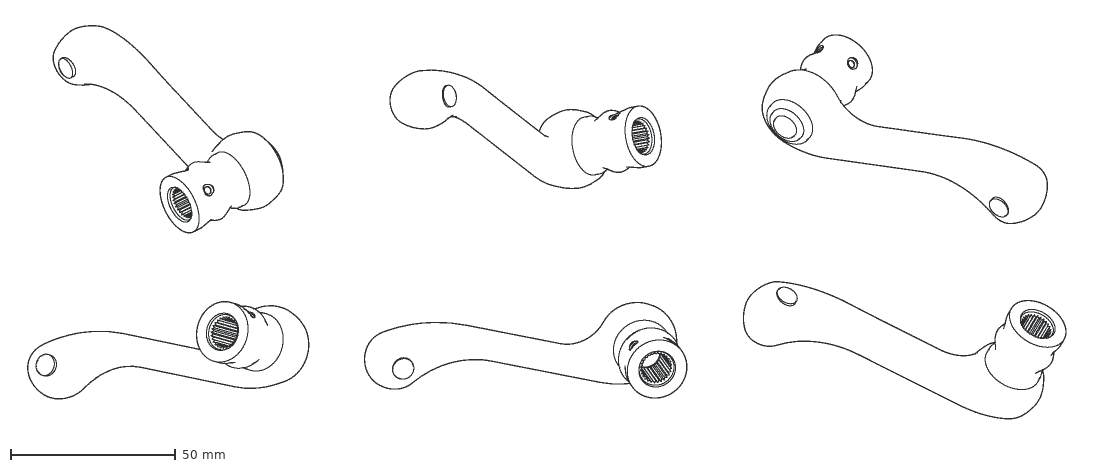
import cadquery as cq
import math


ARM_TILT = 15.5
HUB_RADIUS = 12.09
UPPER_EDGE = -5.5
LOWER_EDGE = -14.6
END_X = -76.1
END_RADIUS = 8.9
NECK_RADIUS = 11.1
BACK_RADIUS = 46.6
PALM_RADIUS = 27.2
BELLY_RADIUS = 30.1

BAND_HALF_WIDTH = 0.9
FLANK_ANGLE = 8.0
FLANK_RADIUS = 17.5
RIM_HALF_WIDTH = 9.7
RIM_DEPTH = 4.4
RIM_OVERLAP = 0.1
FACE_Y = 6.2
FLARE_START_X = -41.5
FLARE_RADIUS = 272.0
FACE_FILLET = 1.5

HUB_END_Y = -26.6
SLEEVE_RADIUS = 8.9
SLEEVE_CORNER_Y = -8.3
WAIST_RADIUS = 7.5
WAIST_Y = -11.2
RIDGE_RADIUS = 9.7
RIDGE_Y = -15.8
GROOVE_RADIUS = 8.4
GROOVE_Y = -19.1
COLLAR_RADIUS = 9.3
COLLAR_Y = -23.8
SLEEVE_FILLET = 1.5
COLLAR_FILLET = 2.5
SHAFT_RADIUS = 7.7
SHAFT_END_Y = 8.3
SHAFT_FILLET = 0.7
STEP_RADIUS = 5.7
STEP_END_Y = 9.4
STEP_FILLET = 0.4
TIP_RADIUS = 3.9
TIP_FILLET = 0.5

BORE_RADIUS = 4.3
SPLINE_ROOT_RADIUS = 4.9
SPLINE_COUNT = 28
BORE_END_Y = -11.7
DRILL_HALF_ANGLE = 59.0
MOUTH_RADIUS = 5.7
MOUTH_THROAT_RADIUS = 5.4
MOUTH_DEPTH = 0.8
COUNTERSINK_DEPTH = 1.7

DIMPLE_Y = -20.2
DIMPLE_ANGLES = (45.0, 135.0)
DIMPLE_RADIUS = 1.8
DIMPLE_FLOOR_RADIUS = 1.2
DIMPLE_RIM_DEPTH = 0.3
DIMPLE_DEPTH = 0.6

PIN_X = -75.2
PIN_RADIUS = 3.3
PIN_END_Y = 10.5
PIN_SHOULDER_Y = 9.1
DOME_RADIUS = 2.6
DOME_BASE_Y = 9.7


def rotated(point, angle):
    """Turn a 2D point counterclockwise about the origin."""
    c = math.cos(math.radians(angle))
    s = math.sin(math.radians(angle))
    return (c * point[0] - s * point[1], s * point[0] + c * point[1])


def along(start, target, distance):
    """Point at a distance from start, on the line towards target."""
    span = math.dist(start, target)
    return tuple(a + (b - a) * distance / span for a, b in zip(start, target))


def tangent_centre(circle_centre, distance, height, side):
    """Centre at a given height and at a given distance from a circle centre."""
    run = math.sqrt(distance ** 2 - (height - circle_centre[1]) ** 2)
    return (circle_centre[0] + side * run, height)


def outline_points():
    """Tangent points of the arm outline as (x, z), starting on the upper shank edge."""
    head = (0.0, 0.0)
    end = rotated((END_X, 0.0), ARM_TILT)
    neck = tangent_centre(head, HUB_RADIUS + NECK_RADIUS, UPPER_EDGE + NECK_RADIUS, -1)
    back = tangent_centre(end, BACK_RADIUS - END_RADIUS, UPPER_EDGE - BACK_RADIUS, 1)
    palm = tangent_centre(end, END_RADIUS + PALM_RADIUS, LOWER_EDGE - PALM_RADIUS, 1)
    belly = tangent_centre(head, BELLY_RADIUS - HUB_RADIUS, LOWER_EDGE + BELLY_RADIUS, -1)
    level_points = [
        (neck[0], UPPER_EDGE),
        (back[0], UPPER_EDGE),
        along(back, end, BACK_RADIUS),
        along(end, palm, END_RADIUS),
        (palm[0], LOWER_EDGE),
        (belly[0], LOWER_EDGE),
        along(belly, head, BELLY_RADIUS),
        along(head, neck, HUB_RADIUS),
    ]
    return [rotated(point, -ARM_TILT) for point in level_points]


def arm_outline(points):
    shank_top, crest, end_top, end_bottom, palm, belly, head_bottom, head_top = points
    return (
        cq.Workplane("XZ")
        .moveTo(*shank_top)
        .lineTo(*crest)
        .tangentArcPoint(end_top, relative=False)
        .tangentArcPoint(end_bottom, relative=False)
        .tangentArcPoint(palm, relative=False)
        .lineTo(*belly)
        .tangentArcPoint(head_bottom, relative=False)
        .tangentArcPoint(head_top, relative=False)
        .tangentArcPoint(shank_top, relative=False)
        .wire()
    )


def crowned_rim(points):
    """Rim of the arm: a rounded band between curved, drafted flanks, swept along the outline."""
    (start_x, start_z), (next_x, next_z) = points[:2]
    section_plane = cq.Plane(
        origin=(start_x, 0, start_z),
        xDir=(0, 1, 0),
        normal=(start_x - next_x, 0, start_z - next_z),
    )
    band_drop = BAND_HALF_WIDTH * math.tan(math.radians(FLANK_ANGLE / 2))

    def flank_drop(y):
        """Drop of the flank below the crest of the band."""
        start_sine = math.sin(math.radians(FLANK_ANGLE))
        end_sine = start_sine + (y - BAND_HALF_WIDTH) / FLANK_RADIUS
        return band_drop + FLANK_RADIUS * (math.sqrt(1 - start_sine ** 2) - math.sqrt(1 - end_sine ** 2))

    foot_y = RIM_HALF_WIDTH
    middle_y = (BAND_HALF_WIDTH + foot_y) / 2
    section = (
        cq.Workplane(section_plane)
        .moveTo(-foot_y, -RIM_DEPTH)
        .lineTo(-foot_y, -flank_drop(foot_y))
        .threePointArc((-middle_y, -flank_drop(middle_y)), (-BAND_HALF_WIDTH, -band_drop))
        .threePointArc((0, 0), (BAND_HALF_WIDTH, -band_drop))
        .threePointArc((middle_y, -flank_drop(middle_y)), (foot_y, -flank_drop(foot_y)))
        .lineTo(foot_y, -RIM_DEPTH)
        .close()
    )
    return section.sweep(arm_outline(points))


def side_face_envelope():
    """Plan shape of the arm: parallel faces that flare out towards the free end."""
    near_x = HUB_RADIUS + 1
    far_x = END_X - END_RADIUS - 1
    height = 4 * HUB_RADIUS

    def flare_y(x):
        run = FLARE_START_X - x
        return FACE_Y + FLARE_RADIUS - math.sqrt(FLARE_RADIUS ** 2 - run ** 2)

    middle_x = (FLARE_START_X + far_x) / 2
    return (
        cq.Workplane("XY")
        .moveTo(near_x, FACE_Y)
        .lineTo(FLARE_START_X, FACE_Y)
        .threePointArc((middle_x, flare_y(middle_x)), (far_x, flare_y(far_x)))
        .lineTo(far_x, -flare_y(far_x))
        .threePointArc((middle_x, -flare_y(middle_x)), (FLARE_START_X, -FACE_Y))
        .lineTo(near_x, -FACE_Y)
        .close()
        .extrude(height / 2, both=True)
    )


def is_face_border(edge):
    """True for the borders of the side faces, but not for the lines that cross them."""
    box = edge.BoundingBox()
    on_side_face = min(abs(box.ymin), abs(box.ymax)) > FACE_Y - 0.01
    return on_side_face and box.xlen > 0.01


def y_cylinder(x, radius, start_y, end_y):
    return (
        cq.Workplane("XZ", origin=(x, start_y, 0))
        .circle(radius)
        .extrude(start_y - end_y)
    )


def make_arm():
    points = outline_points()
    core = arm_outline(points).offset2D(RIM_OVERLAP - RIM_DEPTH).extrude(PIN_END_Y, both=True)
    arm = crowned_rim(points).union(core).intersect(side_face_envelope())
    arm = arm.edges().filter(is_face_border).fillet(FACE_FILLET)
    hub_hole = y_cylinder(0, SHAFT_RADIUS, -PIN_END_Y, PIN_END_Y)
    pin_hole = y_cylinder(PIN_X, PIN_RADIUS, -PIN_END_Y, PIN_END_Y)
    return arm.cut(hub_hole).cut(pin_hole)


def hub_blank():
    """Turned sleeve and stepped shaft."""
    sleeve = (
        cq.Workplane("XY")
        .moveTo(0, -FACE_Y)
        .lineTo(SLEEVE_RADIUS, -FACE_Y)
        .lineTo(SLEEVE_RADIUS, SLEEVE_CORNER_Y)
        .lineTo(WAIST_RADIUS, WAIST_Y)
        .lineTo(RIDGE_RADIUS, RIDGE_Y)
        .lineTo(GROOVE_RADIUS, GROOVE_Y)
        .lineTo(COLLAR_RADIUS, COLLAR_Y)
        .lineTo(COLLAR_RADIUS, HUB_END_Y)
        .lineTo(0, HUB_END_Y)
        .close()
        .revolve(360, (0, 0, 0), (0, 1, 0))
    )

    def is_collar_bend(edge):
        return edge.geomType() == "CIRCLE" and abs(edge.Center().y - COLLAR_Y) < 0.1

    def is_sleeve_bend(edge):
        return edge.geomType() == "CIRCLE" and GROOVE_Y - 0.1 < edge.Center().y < -FACE_Y - 0.1

    sleeve = sleeve.edges().filter(is_collar_bend).fillet(COLLAR_FILLET)
    sleeve = sleeve.edges().filter(is_sleeve_bend).fillet(SLEEVE_FILLET)
    shaft = y_cylinder(0, SHAFT_RADIUS, -FACE_Y, SHAFT_END_Y).edges(">Y").fillet(SHAFT_FILLET)
    step = y_cylinder(0, STEP_RADIUS, SHAFT_END_Y, STEP_END_Y).edges(">Y").fillet(STEP_FILLET)
    tip = y_cylinder(0, TIP_RADIUS, STEP_END_Y, PIN_END_Y).edges(">Y").fillet(TIP_FILLET)
    return sleeve.union(shaft).union(step).union(tip)


def splined_bore():
    """Serrated bore with a conical drilled end and a countersunk mouth."""
    pitch = 360.0 / SPLINE_COUNT
    profile = []
    for index in range(SPLINE_COUNT):
        profile.append(rotated((BORE_RADIUS, 0), index * pitch))
        profile.append(rotated((SPLINE_ROOT_RADIUS, 0), (index + 0.5) * pitch))
    splines = (
        cq.Workplane("XZ", origin=(0, BORE_END_Y, 0))
        .polyline(profile)
        .close()
        .extrude(BORE_END_Y - HUB_END_Y)
    )
    drill_tip_y = BORE_END_Y + BORE_RADIUS / math.tan(math.radians(DRILL_HALF_ANGLE))
    mouth_y = HUB_END_Y + MOUTH_DEPTH
    countersink_y = HUB_END_Y + COUNTERSINK_DEPTH
    turned_core = (
        cq.Workplane("XY")
        .moveTo(0, HUB_END_Y)
        .lineTo(MOUTH_RADIUS, HUB_END_Y)
        .lineTo(MOUTH_THROAT_RADIUS, mouth_y)
        .lineTo(BORE_RADIUS, countersink_y)
        .lineTo(BORE_RADIUS, BORE_END_Y)
        .lineTo(0, drill_tip_y)
        .close()
        .revolve(360, (0, 0, 0), (0, 1, 0))
    )
    return splines.union(turned_core)


def radial_dimple(angle):
    """Countersunk blind hole with a drilled point, aimed at the hub axis."""
    floor_depth = DIMPLE_DEPTH + DIMPLE_FLOOR_RADIUS / math.tan(math.radians(DRILL_HALF_ANGLE))
    return (
        cq.Workplane("XY")
        .moveTo(COLLAR_RADIUS, 0)
        .lineTo(COLLAR_RADIUS, DIMPLE_RADIUS)
        .lineTo(GROOVE_RADIUS, DIMPLE_RADIUS)
        .lineTo(GROOVE_RADIUS - DIMPLE_RIM_DEPTH, DIMPLE_FLOOR_RADIUS)
        .lineTo(GROOVE_RADIUS - DIMPLE_DEPTH, DIMPLE_FLOOR_RADIUS)
        .lineTo(GROOVE_RADIUS - floor_depth, 0)
        .close()
        .revolve(360, (0, 0, 0), (1, 0, 0))
        .rotate((0, 0, 0), (0, 1, 0), -angle)
        .translate((0, DIMPLE_Y, 0))
    )


def make_hub():
    hub = hub_blank().cut(splined_bore())
    for angle in DIMPLE_ANGLES:
        hub = hub.cut(radial_dimple(angle))
    return hub


def make_pin():
    """Cross pin with a bevelled, domed head at each end."""
    dome_rise = PIN_END_Y - DOME_BASE_Y
    dome_sphere = (DOME_RADIUS ** 2 + dome_rise ** 2) / (2 * dome_rise)
    half_angle = math.asin(DOME_RADIUS / dome_sphere) / 2
    dome_middle = (
        dome_sphere * math.sin(half_angle),
        PIN_END_Y - dome_sphere * (1 - math.cos(half_angle)),
    )
    half_pin = (
        cq.Workplane("XY")
        .lineTo(PIN_RADIUS, 0)
        .lineTo(PIN_RADIUS, PIN_SHOULDER_Y)
        .lineTo(DOME_RADIUS, DOME_BASE_Y)
        .threePointArc(dome_middle, (0, PIN_END_Y))
        .close()
        .revolve(360, (0, 0, 0), (0, 1, 0))
    )
    return half_pin.union(half_pin.mirror("XZ")).translate((PIN_X, 0, 0))


arm = make_arm()
hub = make_hub()
pin = make_pin()

result = cq.Compound.makeCompound([arm.val(), hub.val(), pin.val()])